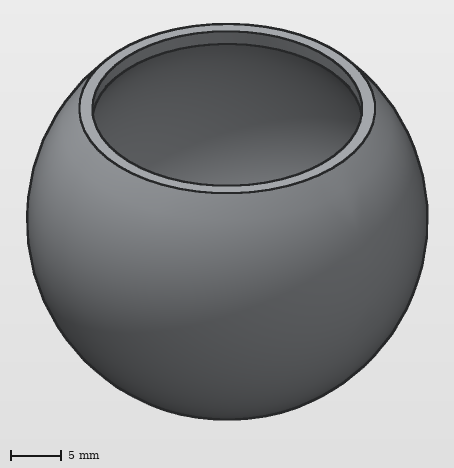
import cadquery as cq
import math

outer_radius = 20.0
wall_thickness = 2.0
overall_height = 33.5
mouth_diameter = 26.9

cavity_radius = outer_radius - wall_thickness
mouth_radius = mouth_diameter / 2
rim_z = overall_height - outer_radius
rim_radius = math.sqrt(outer_radius**2 - rim_z**2)
bore_bottom_z = math.sqrt(cavity_radius**2 - mouth_radius**2)


def bowl_profile():
    """Half section of the wall, in the XZ plane with the Z axis as its inner edge."""
    return (
        cq.Workplane("XZ")
        .moveTo(0, -outer_radius)
        .threePointArc((outer_radius, 0), (rim_radius, rim_z))
        .lineTo(mouth_radius, rim_z)
        .lineTo(mouth_radius, bore_bottom_z)
        .threePointArc((cavity_radius, 0), (0, -cavity_radius))
        .close()
    )


result = bowl_profile().revolve(360, (0, 0, 0), (0, 1, 0))